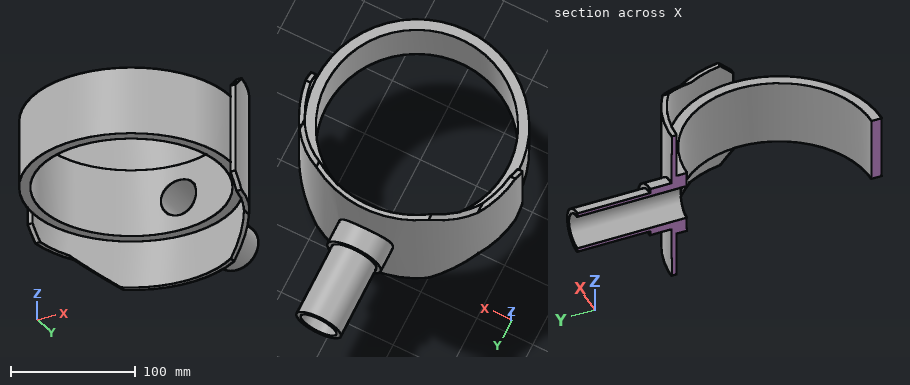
import cadquery as cq

ring_outer_radius = 90.0
ring_wall = 9.0
ring_height = 60.0
ring_inner_radius = ring_outer_radius - ring_wall

saddle_outer_radius = 94.5
saddle_height = 144.0
saddle_crown_width = 100.5
shoulder_width = 159.0
shoulder_height = 102.0
end_chamfer = 11.7

overall_length = 267
stem_tip_y = overall_length - ring_outer_radius
stem_diameter = 40
bore_diameter = 32
collar_diameter = 48
collar_end_y = 113.2


def tube(outer_radius, inner_radius, height):
    """Hollow cylinder along Z, centred on the origin."""
    base = cq.Workplane("XY").workplane(offset=-height / 2)
    return base.circle(outer_radius).circle(inner_radius).extrude(height)


def rod(diameter, end_y):
    """Solid cylinder along Y, from the ring axis to end_y."""
    return cq.Workplane("XZ").circle(diameter / 2).extrude(-end_y)


def make_saddle():
    crown_x = saddle_crown_width / 2
    shoulder_x = shoulder_width / 2
    crown_z = saddle_height / 2
    shoulder_z = shoulder_height / 2

    front_outline = (
        cq.Workplane("XZ")
        .moveTo(-saddle_outer_radius, -shoulder_z)
        .lineTo(-shoulder_x, -shoulder_z)
        .lineTo(-crown_x, -crown_z)
        .lineTo(crown_x, -crown_z)
        .lineTo(shoulder_x, -shoulder_z)
        .lineTo(saddle_outer_radius, -shoulder_z)
        .lineTo(saddle_outer_radius, shoulder_z)
        .lineTo(shoulder_x, shoulder_z)
        .lineTo(crown_x, crown_z)
        .lineTo(-crown_x, crown_z)
        .lineTo(-shoulder_x, shoulder_z)
        .lineTo(-saddle_outer_radius, shoulder_z)
        .close()
        .extrude(-saddle_outer_radius)
    )

    side_outline = (
        cq.Workplane("YZ")
        .moveTo(0, -shoulder_z + end_chamfer)
        .lineTo(end_chamfer, -shoulder_z)
        .lineTo(end_chamfer, -crown_z)
        .lineTo(saddle_outer_radius, -crown_z)
        .lineTo(saddle_outer_radius, crown_z)
        .lineTo(end_chamfer, crown_z)
        .lineTo(end_chamfer, shoulder_z)
        .lineTo(0, shoulder_z - end_chamfer)
        .close()
        .extrude(saddle_outer_radius, both=True)
    )
    shell = tube(saddle_outer_radius, ring_outer_radius, saddle_height)
    return shell.intersect(front_outline).intersect(side_outline)


def make_stem():
    stem = rod(stem_diameter, stem_tip_y).union(rod(collar_diameter, collar_end_y))
    ring_core = cq.Workplane("XY").circle(ring_outer_radius).extrude(saddle_height / 2, both=True)
    return stem.cut(ring_core)


ring = tube(ring_outer_radius, ring_inner_radius, ring_height)
body = ring.union(make_saddle()).union(make_stem())

result = body.cut(rod(bore_diameter, stem_tip_y))